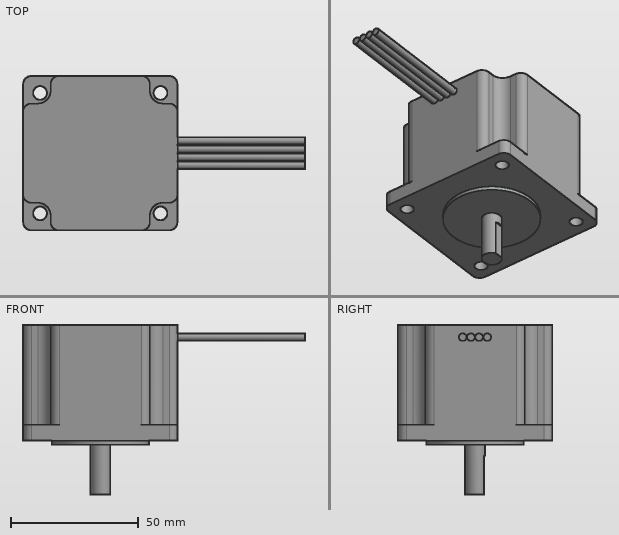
import cadquery as cq
import math

overall_length = 110.5
body_width = 60.5
body_height = 45.4
flange_thickness = 6.3
corner_radius = 3.3

relief_size = 10.8
relief_root_radius = 5.0

hole_spacing = 47.2
hole_diameter = 5.3

pilot_diameter = 38.2
pilot_height = 1.7
shaft_diameter = 8.0
shaft_reach = 21.1
flat_offset = 3.5
flat_start_depth = 6.0

wire_count = 4
wire_diameter = 3.0
wire_pitch = 3.2
wire_depth_below_top = 4.9

half_width = body_width / 2


def make_relief():
    """Square corner notch, flared at both mouths and rounded at its root, for the +X +Y corner."""
    mouth = half_width
    wall = half_width - relief_size
    flare_point = corner_radius * (1 - math.sqrt(0.5))
    root_start = wall + relief_root_radius
    root_point = wall + relief_root_radius * (1 - math.sqrt(0.5))
    return (
        cq.Workplane("XY")
        .workplane(offset=flange_thickness)
        .moveTo(mouth, mouth)
        .lineTo(mouth, wall - corner_radius)
        .threePointArc((mouth - flare_point, wall - flare_point), (mouth - corner_radius, wall))
        .lineTo(root_start, wall)
        .threePointArc((root_point, root_point), (wall, root_start))
        .lineTo(wall, mouth - corner_radius)
        .threePointArc((wall - flare_point, mouth - flare_point), (wall - corner_radius, mouth))
        .close()
        .extrude(body_height - flange_thickness)
    )


def make_housing():
    """Square block with a rounded flange and a relief above each flange corner."""
    housing = cq.Workplane("XY").rect(body_width, body_width).extrude(body_height)
    housing = housing.edges("|Z").fillet(corner_radius)
    relief = make_relief()
    for quarter in range(4):
        housing = housing.cut(relief.rotate((0, 0, 0), (0, 0, 1), 90 * quarter))
    return housing


def make_shaft():
    shaft = cq.Workplane("XY").circle(shaft_diameter / 2).extrude(-shaft_reach)
    flat_cut = (
        cq.Workplane("XY")
        .workplane(offset=-shaft_reach)
        .center(0, flat_offset + shaft_diameter / 2)
        .rect(shaft_diameter, shaft_diameter)
        .extrude(shaft_reach - flat_start_depth)
    )
    return shaft.cut(flat_cut)


def make_wires():
    """Row of parallel leads leaving the +X face."""
    row = cq.Workplane("YZ").workplane(offset=half_width - corner_radius)
    row = row.center(0, body_height - wire_depth_below_top)
    leads = row.rarray(wire_pitch, 1.1, wire_count, 1).circle(wire_diameter / 2)
    return leads.extrude(overall_length - body_width + corner_radius)


pilot = cq.Workplane("XY").circle(pilot_diameter / 2).extrude(-pilot_height)
holes = (
    cq.Workplane("XY")
    .rect(hole_spacing, hole_spacing, forConstruction=True)
    .vertices()
    .circle(hole_diameter / 2)
    .extrude(flange_thickness)
)

result = make_housing().union(pilot).union(make_shaft()).union(make_wires()).cut(holes)